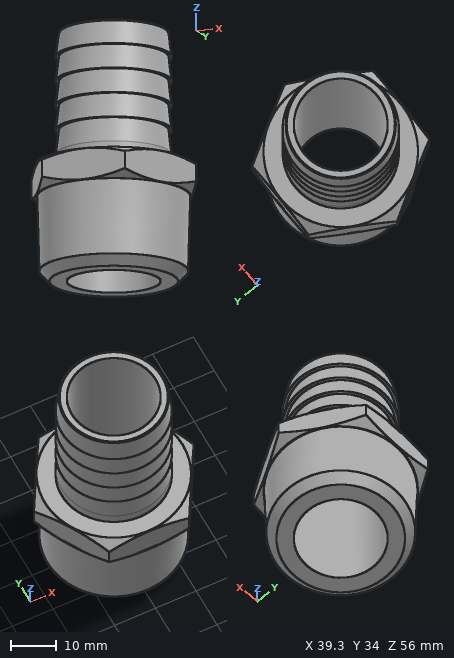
import cadquery as cq
import math

total_height = 56.0
hex_bottom = 19.05
hex_top = 26.1

across_flats = 34.0
across_corners = across_flats / math.cos(math.pi / 6)
corner_chamfer_angle = 30.0
flat_inset = 0.1
chamfer_start_radius = across_flats / 2 - flat_inset

thread_top_radius = 33.55 / 2
thread_bottom_radius = 32.6 / 2
lead_in = 2.25

barb_count = 5
barbs_bottom = 28.45
barb_pitch = (total_height - barbs_bottom) / barb_count
barb_large_radius = 25.5 / 2
barb_small_radius = 24.1 / 2
tip_chamfer = 0.2

bore_diameter = 20.5


def threaded_end():
    """Cone that narrows downward, with a 45 degree lead-in."""
    profile = (
        cq.Workplane("XZ")
        .moveTo(0, 0)
        .lineTo(thread_bottom_radius - lead_in, 0)
        .lineTo(thread_bottom_radius, lead_in)
        .lineTo(thread_top_radius, hex_bottom)
        .lineTo(0, hex_bottom)
        .close()
    )
    return profile.revolve(360, (0, 0), (0, 1))


def hexagon():
    """Hexagon with its corners bevelled at both ends."""
    prism = (
        cq.Workplane("XY")
        .workplane(offset=hex_bottom)
        .polygon(6, across_corners)
        .extrude(hex_top - hex_bottom)
    )
    corner_radius = across_corners / 2
    bevel_drop = (corner_radius - chamfer_start_radius) * math.tan(math.radians(corner_chamfer_angle))
    envelope = (
        cq.Workplane("XZ")
        .moveTo(0, hex_bottom)
        .lineTo(chamfer_start_radius, hex_bottom)
        .lineTo(corner_radius, hex_bottom + bevel_drop)
        .lineTo(corner_radius, hex_top - bevel_drop)
        .lineTo(chamfer_start_radius, hex_top)
        .lineTo(0, hex_top)
        .close()
        .revolve(360, (0, 0), (0, 1))
    )
    return prism.intersect(envelope)


def hose_tail():
    """Cylindrical root below a stack of barbs that narrow upward."""
    profile = (
        cq.Workplane("XZ")
        .moveTo(0, hex_top)
        .lineTo(barb_large_radius, hex_top)
        .lineTo(barb_large_radius, barbs_bottom)
    )
    for index in range(1, barb_count):
        step_height = barbs_bottom + index * barb_pitch
        profile = profile.lineTo(barb_small_radius, step_height).lineTo(barb_large_radius, step_height)
    profile = (
        profile.lineTo(barb_small_radius, total_height - tip_chamfer)
        .lineTo(barb_small_radius - tip_chamfer, total_height)
        .lineTo(0, total_height)
        .close()
    )
    return profile.revolve(360, (0, 0), (0, 1))


body = threaded_end().union(hexagon()).union(hose_tail())
bore = cq.Workplane("XY").circle(bore_diameter / 2).extrude(total_height)
result = body.cut(bore)